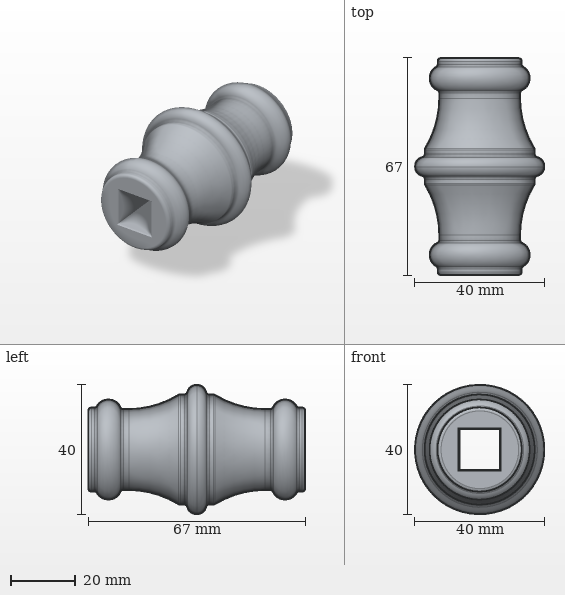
import cadquery as cq
import math

length = 67.0
half_length = length / 2

end_collar_radius = 13.0
end_bead_radius = 15.5
neck_radius = 12.5
middle_collar_radius = 17.0
middle_bead_diameter = 40.0
middle_bead_radius = middle_bead_diameter / 2

end_bead_round = 4.0
end_bead_y = half_length - 6.2
middle_bead_round = 3.0
flare_round = 29.5
flare_start_y = half_length - 12.45
blend_round = 1.0

hole_side = 12.4
hole_chamfer = 0.35


def point_at(center, radius, angle):
    """Point on a circle in the (radius, Y) half-plane."""
    return (center[0] + radius * math.cos(angle), center[1] + radius * math.sin(angle))


def arc_between(center, radius, start, end):
    """Middle and end points of the short arc from start to end."""
    mid_x = (start[0] + end[0]) / 2 - center[0]
    mid_y = (start[1] + end[1]) / 2 - center[1]
    return point_at(center, radius, math.atan2(mid_y, mid_x)), end


def blend_to_cylinder(round_center, round_radius, blend_x, side):
    """Center of a blend touching a round, and the point where they meet."""
    reach = round_radius + blend_round
    offset_x = blend_x - round_center[0]
    offset_y = side * math.sqrt(reach**2 - offset_x**2)
    blend_center = (blend_x, round_center[1] + offset_y)
    meeting = point_at(round_center, round_radius, math.atan2(offset_y, offset_x))
    return blend_center, meeting


def make_half_body():
    """Revolve the +Y half of the profile, from the middle plane to the end face."""
    middle_center = (middle_bead_radius - middle_bead_round, 0)
    flare_center = (neck_radius + flare_round, flare_start_y)
    end_center = (end_bead_radius - end_bead_round, end_bead_y)

    middle_blend, middle_meeting = blend_to_cylinder(
        middle_center, middle_bead_round, middle_collar_radius + blend_round, 1
    )
    flare_blend, flare_meeting = blend_to_cylinder(
        flare_center, flare_round, middle_collar_radius - blend_round, -1
    )
    neck_blend, neck_meeting = blend_to_cylinder(
        end_center, end_bead_round, neck_radius + blend_round, -1
    )
    collar_blend, collar_meeting = blend_to_cylinder(
        end_center, end_bead_round, end_collar_radius + blend_round, 1
    )

    bead_start = (middle_bead_radius, 0)
    middle_collar_start = (middle_collar_radius, middle_blend[1])
    middle_collar_end = (middle_collar_radius, flare_blend[1])
    flare_end = (neck_radius, flare_start_y)
    neck_end = (neck_radius, neck_blend[1])
    bead_crest = (end_bead_radius, end_bead_y)
    end_collar_start = (end_collar_radius, collar_blend[1])
    edge_center = (end_collar_radius - blend_round, half_length - blend_round)
    edge_start = (end_collar_radius, edge_center[1])
    edge_end = (edge_center[0], half_length)

    profile = (
        cq.Workplane("XY")
        .lineTo(*bead_start)
        .threePointArc(*arc_between(middle_center, middle_bead_round, bead_start, middle_meeting))
        .threePointArc(*arc_between(middle_blend, blend_round, middle_meeting, middle_collar_start))
        .lineTo(*middle_collar_end)
        .threePointArc(*arc_between(flare_blend, blend_round, middle_collar_end, flare_meeting))
        .threePointArc(*arc_between(flare_center, flare_round, flare_meeting, flare_end))
        .lineTo(*neck_end)
        .threePointArc(*arc_between(neck_blend, blend_round, neck_end, neck_meeting))
        .threePointArc(bead_crest, collar_meeting)
        .threePointArc(*arc_between(collar_blend, blend_round, collar_meeting, end_collar_start))
        .lineTo(*edge_start)
        .threePointArc(*arc_between(edge_center, blend_round, edge_start, edge_end))
        .lineTo(0, half_length)
        .close()
    )
    return profile.revolve(360, (0, 0), (0, 1))


def cut_square_hole(body):
    """Cut the through-hole and chamfer its mouth at both ends."""
    hole = cq.Workplane("XY").box(hole_side, length, hole_side)
    body = body.cut(hole)
    for end in ("<Y", ">Y"):
        body = body.faces(end).edges("%LINE").chamfer(hole_chamfer)
    return body


half_body = make_half_body()
result = cut_square_hole(half_body.union(half_body.mirror("XZ")))